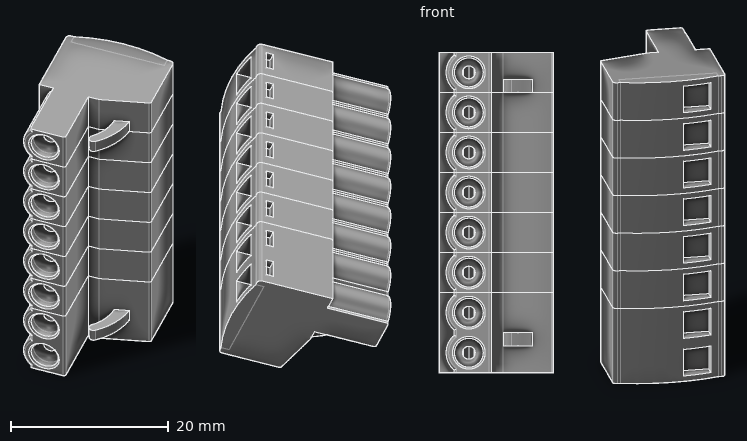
import cadquery as cq
import math


total_height = 40.65
pole_count = 8
pitch = total_height / pole_count
base_poles = 2

block_width = 14.5
block_back = 10.08
slope_start_x = 8.13
slope_end_y = 1.65
back_corner_radius = 0.53
slope_corner_radius = 0.33

overall_depth = 19.3
plug_length = 8.3
cap_inset = 0.95
cap_base_y = 9.0
cap_peak_y = overall_depth - plug_length

plug_right_x = 6.65
plug_flat_x = 1.9
contact_x = 3.78
barrel_radius = 2.9
plug_edge_radius = 0.33

socket_mouth_radius = 2.07
socket_radius = 1.83
socket_chamfer = socket_mouth_radius - socket_radius
socket_wall_length = 0.8
pin_hole_radius = 0.8
pin_hole_length = 1.63
notch_half_width = 0.65
notch_depth = 1.3

wire_opening_width = 3.65
wire_opening_height = 3.58

slot_width = 0.95
slot_height = 2.5
slot_depth = 1.2

hook_height = 1.65
hook_outer_root = (11.9, 1.63)
hook_inner_root = (9.9, 1.63)
hook_outer_middle = (11.0, -1.65)
hook_outer_end = (9.2, -4.02)
hook_tip = (8.3, -4.0)
hook_inner_end = (8.4, -3.15)
hook_inner_middle = (9.55, -1.45)


def make_block(height):
    """Prism with a sloped front, rounded back corners and a rounded slope corner."""
    block = (
        cq.Workplane("XY")
        .polyline(
            [
                (0, 0),
                (slope_start_x, 0),
                (block_width, slope_end_y),
                (block_width, block_back),
                (0, block_back),
            ]
        )
        .close()
        .extrude(height)
    )
    block = block.edges("|Z and >Y").fillet(back_corner_radius)
    slope_corner = cq.selectors.NearestToPointSelector((block_width, slope_end_y, height / 2))
    return block.edges(slope_corner).fillet(slope_corner_radius)


def make_cap(height):
    """Strip with a domed back, as high as its housing."""
    right = block_width - cap_inset
    return (
        cq.Workplane("XY")
        .moveTo(cap_inset, cap_base_y)
        .lineTo(right, cap_base_y)
        .lineTo(right, block_back)
        .threePointArc((block_width / 2, cap_peak_y), (cap_inset, block_back))
        .close()
        .extrude(height)
    )


def make_barrel(z):
    """Round left side of the plug at one pole, with a rounded front rim."""
    rod = (
        cq.Workplane("XZ", origin=(contact_x, 0, z))
        .circle(barrel_radius)
        .extrude(plug_length)
        .faces("<Y")
        .edges()
        .fillet(plug_edge_radius)
    )
    left_half = (
        cq.Workplane("XY")
        .box(contact_x, plug_length, pitch, centered=(False, False, True))
        .translate((0, -plug_length, z))
    )
    return rod.intersect(left_half)


def make_plug(height, axis_heights):
    """Plug whose left side bulges into one barrel per pole, with rounded front edges."""
    plug = (
        cq.Workplane("XY")
        .box(plug_right_x - plug_flat_x, plug_length, height, centered=False)
        .translate((plug_flat_x, -plug_length, 0))
        .edges("|Z and <Y")
        .fillet(plug_edge_radius)
    )
    for z in axis_heights:
        plug = plug.union(make_barrel(z))
    return plug


def make_socket(z):
    """Space for one contact: chamfered bore, rounded floor, and a pin hole ending in a V notch."""
    floor_radius = socket_radius - pin_hole_radius
    arc_start = socket_chamfer + socket_wall_length
    floor_depth = arc_start + floor_radius
    hole_depth = floor_depth + pin_hole_length
    diagonal = floor_radius * math.sqrt(0.5)
    bore = (
        cq.Workplane("XY")
        .lineTo(socket_mouth_radius, 0)
        .lineTo(socket_radius, socket_chamfer)
        .lineTo(socket_radius, arc_start)
        .threePointArc(
            (pin_hole_radius + diagonal, arc_start + diagonal),
            (pin_hole_radius, floor_depth),
        )
        .lineTo(pin_hole_radius, hole_depth)
        .lineTo(0, hole_depth)
        .close()
        .revolve(360, (0, 0), (0, 1))
    )
    notch = (
        cq.Workplane("XY", origin=(0, 0, -pin_hole_radius))
        .polyline(
            [
                (-notch_half_width, hole_depth),
                (notch_half_width, hole_depth),
                (0, hole_depth + notch_depth),
            ]
        )
        .close()
        .extrude(2 * pin_hole_radius)
    )
    pin_column = cq.Workplane("XZ").circle(pin_hole_radius).extrude(-(hole_depth + notch_depth))
    notch = notch.intersect(pin_column)
    return bore.union(notch).translate((contact_x, -plug_length, z))


def make_wire_opening(z):
    """Rectangular pocket through the cap, in line with the contact."""
    depth = cap_peak_y - cap_base_y
    return (
        cq.Workplane("XY")
        .box(wire_opening_width, depth, wire_opening_height, centered=(True, False, True))
        .translate((contact_x, cap_base_y, z))
    )


def make_test_slot(z):
    """Rectangular pocket in the left side, just in front of the cap."""
    return (
        cq.Workplane("XY")
        .box(slot_depth, slot_width, slot_height, centered=(False, False, True))
        .translate((0, cap_base_y - slot_width, z))
    )


def make_hook(bottom):
    """Curved latch hook that leaves the sloped front of the block."""
    return (
        cq.Workplane("XY", origin=(0, 0, bottom))
        .moveTo(*hook_outer_root)
        .threePointArc(hook_outer_middle, hook_outer_end)
        .threePointArc(hook_tip, hook_inner_end)
        .threePointArc(hook_inner_middle, hook_inner_root)
        .close()
        .extrude(hook_height)
    )


def make_housing(poles, hook_bottom=None):
    """One housing for the given number of poles, standing on Z = 0.

    The cap is fused without merging faces, so its outline stays on the flat ends.
    """
    height = poles * pitch
    axis_heights = [(pole + 0.5) * pitch for pole in range(poles)]
    housing = make_block(height).union(make_plug(height, axis_heights))
    if hook_bottom is not None:
        housing = housing.union(make_hook(hook_bottom))
    cap = make_cap(height)
    housing = housing.cut(cap).union(cap, clean=False)
    for z in axis_heights:
        for pocket in (make_socket(z), make_wire_opening(z), make_test_slot(z)):
            housing = housing.cut(pocket, clean=False)
    return housing


base_housing = make_housing(base_poles, hook_bottom=pitch - hook_height)

pole_housings = []
for level in range(base_poles, pole_count):
    is_top = level == pole_count - 1
    housing = make_housing(1, hook_bottom=0 if is_top else None)
    pole_housings.append(housing.translate((0, 0, level * pitch)))

result = cq.Compound.makeCompound(
    [base_housing.val(), *[housing.val() for housing in pole_housings]]
)